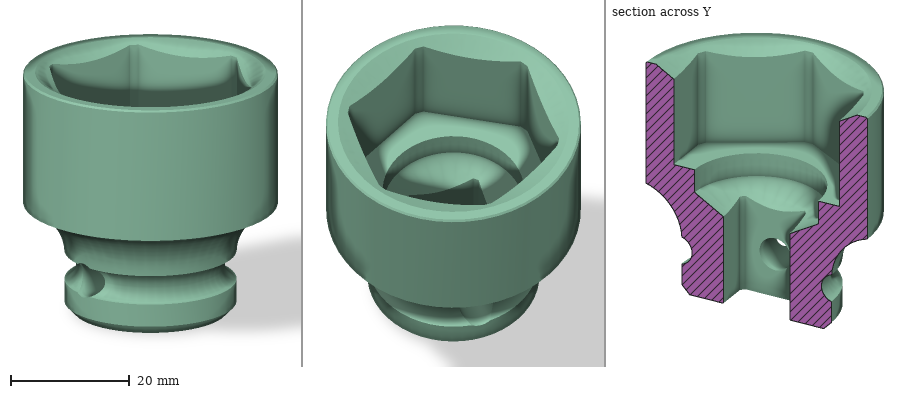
import cadquery as cq
import math

height = 42.0
body_radius = 21.5
body_bottom = 19.0
rim_chamfer = 0.3
neck_radius = 14.55
neck_flare_mid_radius = 16.1
neck_flare_mid_height = 15.2
drive_chamfer_height = 1.6
drive_end_radius = 13.0

groove_bottom = 5.5
groove_top = 10.55
groove_root_radius = 12.55
groove_center = (groove_bottom + groove_top) / 2
pin_hole_diameter = 6.0

hex_across_flats = 32.0
hex_corner_chamfer = 0.85
hex_depth = 18.1
mouth_radius = 19.5
mouth_angle = 30.0

recess_radius = 11.95
recess_wall_depth = 4.3
recess_angle = 30.0
drive_square = 12.8
drive_corner_chamfer = 0.7

hex_floor = height - hex_depth
recess_cone_top = hex_floor - recess_wall_depth


def outer_body():
    """Revolved outline with the flared neck and round retaining groove."""
    return (
        cq.Workplane("XZ")
        .lineTo(drive_end_radius, 0)
        .lineTo(neck_radius, drive_chamfer_height)
        .lineTo(neck_radius, groove_bottom)
        .threePointArc((groove_root_radius, groove_center), (neck_radius, groove_top))
        .threePointArc((neck_flare_mid_radius, neck_flare_mid_height), (body_radius, body_bottom))
        .lineTo(body_radius, height - rim_chamfer)
        .lineTo(body_radius - rim_chamfer, height)
        .lineTo(0, height)
        .close()
        .revolve(360, (0, 0), (0, 1))
    )


def pointed_cone(radius, top, angle):
    """Downward-pointing cone whose side slopes at an angle from horizontal."""
    depth = radius * math.tan(math.radians(angle))
    return (
        cq.Workplane("XZ")
        .moveTo(0, top)
        .lineTo(radius, top)
        .lineTo(0, top - depth)
        .close()
        .revolve(360, (0, 0), (0, 1))
    )


def hex_socket():
    """Hexagonal prism with chamfered corners, two of them on the Y axis."""
    corner_diameter = hex_across_flats / math.cos(math.radians(30))
    return (
        cq.Workplane("XY")
        .polygon(6, corner_diameter)
        .extrude(hex_depth)
        .edges("|Z")
        .chamfer(hex_corner_chamfer)
        .rotate((0, 0, 0), (0, 0, 1), 30)
        .translate((0, 0, hex_floor))
    )


def recess_wall():
    """Straight round part of the recess below the socket floor."""
    return (
        cq.Workplane("XY", origin=(0, 0, recess_cone_top))
        .circle(recess_radius)
        .extrude(recess_wall_depth)
    )


def square_drive():
    """Square drive opening that runs up to the socket floor."""
    return (
        cq.Workplane("XY")
        .rect(drive_square, drive_square)
        .extrude(hex_floor)
        .edges("|Z")
        .chamfer(drive_corner_chamfer)
    )


def pin_hole():
    """Cross hole along Y through both walls of the drive end."""
    return (
        cq.Workplane("XZ")
        .center(0, groove_center)
        .circle(pin_hole_diameter / 2)
        .extrude(body_radius, both=True)
    )


result = (
    outer_body()
    .cut(hex_socket())
    .cut(pointed_cone(mouth_radius, height, mouth_angle))
    .cut(recess_wall())
    .cut(pointed_cone(recess_radius, recess_cone_top, recess_angle))
    .cut(square_drive())
    .cut(pin_hole())
)